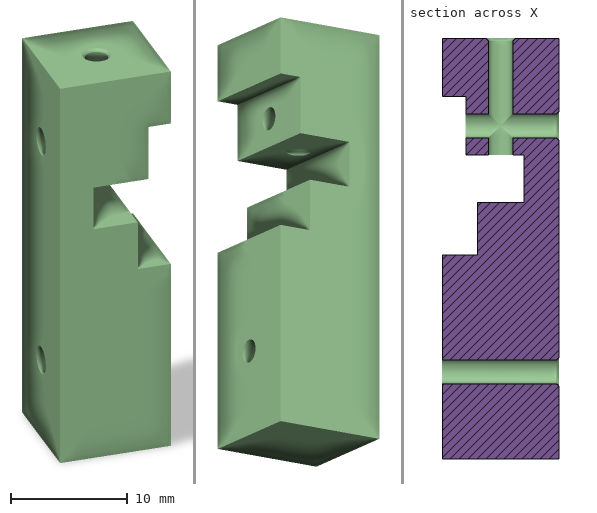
import cadquery as cq

height = 36.0
width = 10.0
half_width = width / 2

upper_step_top = 5.0
slot_top = 10.0
slot_bottom = 14.0
lower_step_bottom = 18.5
upper_step_depth = 2.0
slot_depth = 7.0
lower_step_depth = 3.0

hole_diameter = 2.0
countersink_diameter = 2.5
countersink_angle = 90
cross_hole_inset = 7.5
end_hole_depth = slot_top


def notch_step(top, bottom, depth):
    """Box that cuts a full-width step into the +Y face, between two distances below the top."""
    return (
        cq.Workplane("XY")
        .box(width, depth, bottom - top, centered=(True, False, False))
        .translate((0, half_width - depth, height - bottom))
    )


result = cq.Workplane("XY").box(width, width, height, centered=(True, True, False))

result = result.cut(notch_step(upper_step_top, slot_top, upper_step_depth))
result = result.cut(notch_step(slot_top, slot_bottom, slot_depth))
result = result.cut(notch_step(slot_bottom, lower_step_bottom, lower_step_depth))

cross_hole_centres = [(0, cross_hole_inset), (0, height - cross_hole_inset)]
result = (
    result.faces("<Y")
    .workplane(origin=(0, -half_width, 0))
    .pushPoints(cross_hole_centres)
    .cskHole(hole_diameter, countersink_diameter, countersink_angle)
)

result = (
    result.faces(">Z")
    .workplane(origin=(0, 0, height))
    .cskHole(hole_diameter, countersink_diameter, countersink_angle, depth=end_hole_depth)
)